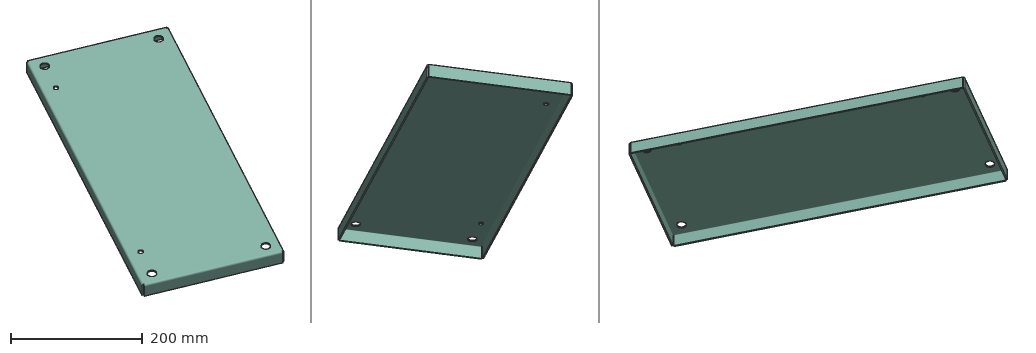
import cadquery as cq

length = 533.5
width = 229.0
height = 22.5

sheet = 2.5
bend_radius = 3.0
long_flange_inset = bend_radius
short_flange_inset = 2.5

corner_hole_diameter = 14.5
small_hole_diameter = 8.0
corner_hole_x = 245.0
hole_row_y = 92.0
small_hole_x = 193.5


def folded_channel(plane, span, run):
    """Inverted U of constant sheet thickness, centred along its run."""
    outer = (
        cq.Workplane(plane)
        .center(0, height / 2)
        .rect(span, height)
        .extrude(run / 2, both=True)
    )
    fold_direction = "|X" if plane == "YZ" else "|Y"
    outer = outer.edges(f"{fold_direction} and >Z").fillet(bend_radius)
    inner = (
        cq.Workplane(plane)
        .center(0, height / 2 - sheet)
        .rect(span - 2 * sheet, height)
        .extrude(run / 2, both=True)
        .edges(f"{fold_direction} and >Z")
        .fillet(bend_radius - sheet)
    )
    return outer.cut(inner)


def drill(body, points, diameter):
    drills = (
        cq.Workplane("XY")
        .pushPoints(points)
        .circle(diameter / 2)
        .extrude(height)
    )
    return body.cut(drills)


long_fold = folded_channel("YZ", width, length - 2 * long_flange_inset)

short_fold = folded_channel("XZ", length, width - 2 * short_flange_inset)
between_bend_lines = cq.Workplane("XY").box(
    length - 2 * bend_radius, width, height, centered=(True, True, False)
)
tray = long_fold.union(short_fold.cut(between_bend_lines))

corner_holes = [
    (side_x * corner_hole_x, side_y * hole_row_y)
    for side_x in (-1, 1)
    for side_y in (-1, 1)
]
small_holes = [(side_x * small_hole_x, -hole_row_y) for side_x in (-1, 1)]
tray = drill(tray, corner_holes, corner_hole_diameter)
result = drill(tray, small_holes, small_hole_diameter)